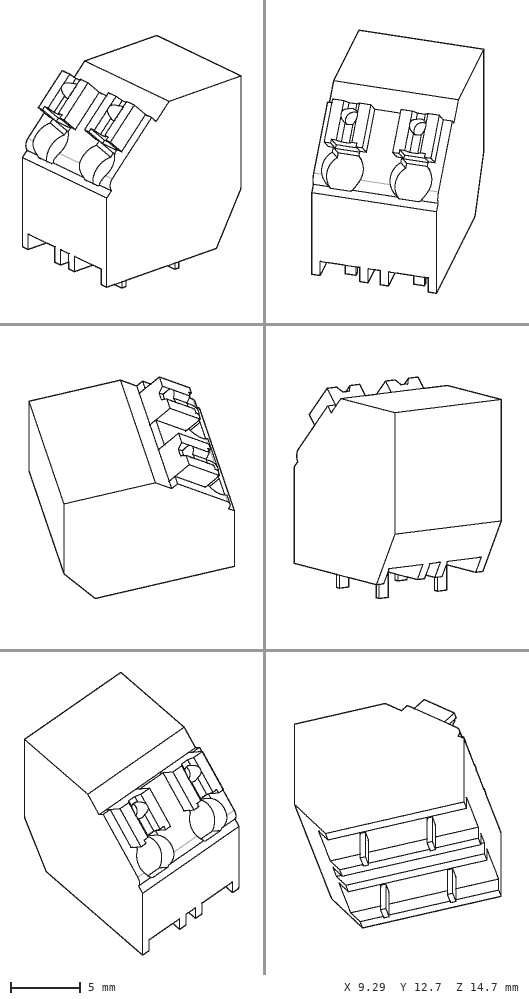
import cadquery as cq
import math


pole_count = 2
pole_pitch = 5.09
unit_width = 4.2
first_pole_x = unit_width / 2
pole_centres = [first_pole_x + i * pole_pitch for i in range(pole_count)]

housing_width = unit_width + (pole_count - 1) * pole_pitch
housing_depth = 12.7
total_height = 14.66
base_z = 1.5
housing_top_z = 14.38
front_top_z = 8.52
back_slope_width = 2.33
back_slope_angle = 60
back_slope_height = back_slope_width * math.tan(math.radians(back_slope_angle))

diagonal = math.sqrt(0.5)

button_width = 2.85
button_length = 3.2
button_rise = 1.5
well_depth = 1.89
back_notch_depth = 0.62

seat_y = 1.98
seat_z = total_height - (button_length + button_rise) * diagonal

groove_width = 1.16
groove_floor_width = 0.59
groove_depth = 0.47
pry_hole_diameter = 1.2
pry_hole_from_end = 2.21
pry_hole_depth = 1.76

recess_width = 1.89
recess_length = 0.28
recess_depth = 1.83

entry_diameter = 3.05
channel_width = 1.96
entry_offset_x = -0.06
entry_centre_below_button = 1.52
entry_length = 2.87

nose_top_z = 9.88
nose_front_y = 0.32
step_width = 0.44

foot_width = 0.63
slot_roof_z = 2.71

pin_width = 0.8
pin_thickness = 0.4
front_pin_y = 3.08
pin_row_pitch = 5.0
pin_row_count = 2


def slope_plane(x, height=0.0):
    """Plane parallel to the slope, raised above it; local y runs up the slope from the button's lower end."""
    return cq.Workplane(
        cq.Plane(
            origin=(x, seat_y - height * diagonal, seat_z + height * diagonal),
            xDir=(1, 0, 0),
            normal=(0, -1, 1),
        )
    )


def slope_box(x, width, start, length, bottom, top):
    """Box square to the slope, reaching from start along it and from bottom to top above it."""
    return (
        slope_plane(x, bottom)
        .center(0, start + length / 2)
        .rect(width, length)
        .extrude(top - bottom)
    )


def housing_block():
    """Side outline of the housing drawn across its full width."""
    seat_top_y = seat_y + button_length * diagonal
    seat_top_z = seat_z + button_length * diagonal
    valley_y = seat_top_y + back_notch_depth * diagonal
    valley_z = seat_top_z - back_notch_depth * diagonal
    step_top_z = front_top_z + step_width
    nose_top_y = seat_y - (seat_z - nose_top_z)
    return (
        cq.Workplane("YZ")
        .moveTo(0, base_z)
        .lineTo(0, front_top_z)
        .lineTo(step_width, step_top_z)
        .threePointArc((nose_front_y, (nose_top_z + step_top_z) / 2), (nose_top_y, nose_top_z))
        .lineTo(seat_top_y, seat_top_z)
        .lineTo(valley_y, valley_z)
        .lineTo(valley_y + housing_top_z - valley_z, housing_top_z)
        .lineTo(housing_depth, housing_top_z)
        .lineTo(housing_depth, base_z + back_slope_height)
        .lineTo(housing_depth - back_slope_width, base_z)
        .close()
        .extrude(housing_width)
    )


def button_well(x):
    """Pocket that holds the lower part of a button."""
    return slope_box(x, button_width, 0, button_length, -well_depth, 0)


def wire_entry(pole_x):
    """Round entry with a flat lower side, joined to the button well by a straight channel."""
    x = pole_x + entry_offset_x
    round_part = (
        slope_plane(x, -well_depth)
        .center(0, -entry_centre_below_button)
        .circle(entry_diameter / 2)
        .extrude(2 * well_depth)
    )
    flat_limits = slope_box(x, entry_diameter, -entry_length, entry_length, -well_depth, well_depth)
    channel = slope_box(
        x, channel_width, -entry_centre_below_button, entry_centre_below_button, -well_depth, 0
    )
    return round_part.intersect(flat_limits).union(channel)


def underside_slot(start_x, end_x):
    """Slot between two feet, open at the front and the back."""
    return cq.Workplane("XY").box(
        end_x - start_x, housing_depth, slot_roof_z - base_z, centered=False
    ).translate((start_x, 0, base_z))


def make_housing():
    housing = housing_block()
    for x in pole_centres:
        unit_start = x - unit_width / 2
        unit_end = x + unit_width / 2
        housing = housing.cut(button_well(x)).cut(wire_entry(x))
        housing = housing.cut(underside_slot(unit_start + foot_width, unit_end - foot_width))
    for x in pole_centres[:-1]:
        unit_end = x + unit_width / 2
        housing = housing.cut(underside_slot(unit_end, unit_end + pole_pitch - unit_width))
    return housing


def top_groove(x):
    """Groove with sloping sides and a flat floor along the whole button top."""
    half_top = groove_width / 2
    half_floor = groove_floor_width / 2
    floor = button_rise - groove_depth
    end_plane = cq.Plane(origin=(x, seat_y, seat_z), xDir=(1, 0, 0), normal=(0, -1, -1))
    return (
        cq.Workplane(end_plane)
        .polyline(
            [
                (-half_top, button_rise),
                (-half_floor, floor),
                (half_floor, floor),
                (half_top, button_rise),
            ]
        )
        .close()
        .extrude(-button_length)
    )


def pry_hole(x):
    """Round blind hole in the groove."""
    return (
        slope_plane(x, button_rise - pry_hole_depth)
        .center(0, pry_hole_from_end)
        .circle(pry_hole_diameter / 2)
        .extrude(pry_hole_depth)
    )


def make_button(x):
    body = slope_box(x, button_width, 0, button_length, -well_depth, button_rise)
    end_recess = slope_box(x, recess_width, 0, recess_length, button_rise - recess_depth, button_rise)
    return body.cut(end_recess).cut(top_groove(x)).cut(pry_hole(x))


def make_pin(x, y):
    """Flat pin hanging from the roof of an underside slot."""
    return (
        cq.Workplane("XY")
        .center(x, y)
        .rect(pin_width, pin_thickness)
        .extrude(slot_roof_z)
    )


housing = make_housing()
buttons = [make_button(x) for x in pole_centres]
pins = [
    make_pin(x, front_pin_y + row * pin_row_pitch)
    for x in pole_centres
    for row in range(pin_row_count)
]

result = cq.Compound.makeCompound(
    [housing.val(), *[button.val() for button in buttons], *[pin.val() for pin in pins]]
)